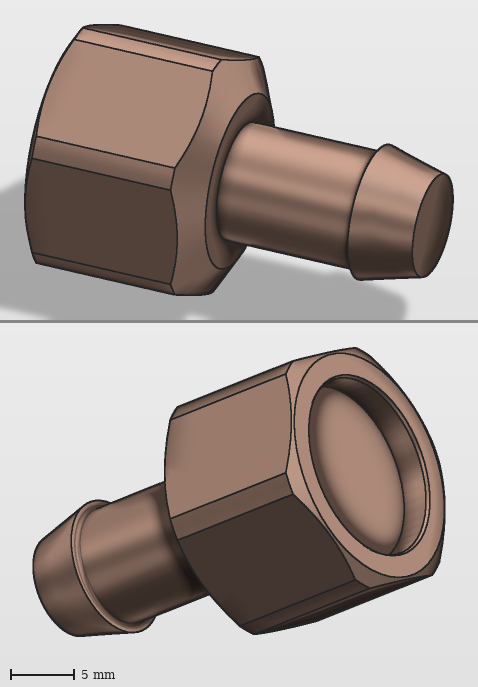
import cadquery as cq
import math

total_length = 31.0
nut_length = 14.5
barb_start = 26.0

across_flats = 19.0
across_corners = 21.0
front_face_diameter = 18.6
rear_face_diameter = 14.2
chamfer_angle = math.radians(30)

bore_diameter = 14.7
bore_mouth_diameter = 15.0
bore_mouth_depth = 0.28
bore_depth = 2.5

shank_diameter = 9.58
shank_fillet = 0.3
barb_diameter = 10.97
tip_diameter = 8.37


def make_nut():
    """Hex prism trimmed by a chamfered round envelope; flats face +Y and -Y."""
    full_points = across_flats / math.cos(math.pi / 6)
    hexagon = cq.Workplane("YZ").polygon(6, full_points).extrude(nut_length)
    hexagon = hexagon.rotate((0, 0, 0), (1, 0, 0), 90)

    corner_radius = across_corners / 2
    front_radius = front_face_diameter / 2
    rear_radius = rear_face_diameter / 2
    front_chamfer = (corner_radius - front_radius) * math.tan(chamfer_angle)
    rear_chamfer = (corner_radius - rear_radius) * math.tan(chamfer_angle)
    envelope = (
        cq.Workplane("XY")
        .moveTo(0, 0)
        .lineTo(0, front_radius)
        .lineTo(front_chamfer, corner_radius)
        .lineTo(nut_length - rear_chamfer, corner_radius)
        .lineTo(nut_length, rear_radius)
        .lineTo(nut_length, 0)
        .close()
        .revolve(360, (0, 0, 0), (1, 0, 0))
    )
    return hexagon.intersect(envelope)


def make_hose_tail():
    """Shank with a small fillet against the back of the tapered barb."""
    shank_radius = shank_diameter / 2
    fillet_centre = (barb_start - shank_fillet, shank_radius + shank_fillet)
    fillet_middle = (
        fillet_centre[0] + shank_fillet * math.sin(math.pi / 4),
        fillet_centre[1] - shank_fillet * math.cos(math.pi / 4),
    )
    shank_start = nut_length / 2
    return (
        cq.Workplane("XY")
        .moveTo(shank_start, 0)
        .lineTo(shank_start, shank_radius)
        .lineTo(barb_start - shank_fillet, shank_radius)
        .threePointArc(fillet_middle, (barb_start, shank_radius + shank_fillet))
        .lineTo(barb_start, barb_diameter / 2)
        .lineTo(total_length, tip_diameter / 2)
        .lineTo(total_length, 0)
        .close()
        .revolve(360, (0, 0, 0), (1, 0, 0))
    )


def make_socket():
    """Blind bore with a small chamfer at its mouth."""
    bore_radius = bore_diameter / 2
    mouth_radius = bore_mouth_diameter / 2
    return (
        cq.Workplane("XY")
        .moveTo(0, 0)
        .lineTo(0, mouth_radius)
        .lineTo(bore_mouth_depth, bore_radius)
        .lineTo(bore_depth, bore_radius)
        .lineTo(bore_depth, 0)
        .close()
        .revolve(360, (0, 0, 0), (1, 0, 0))
    )


result = make_nut().union(make_hose_tail()).cut(make_socket())